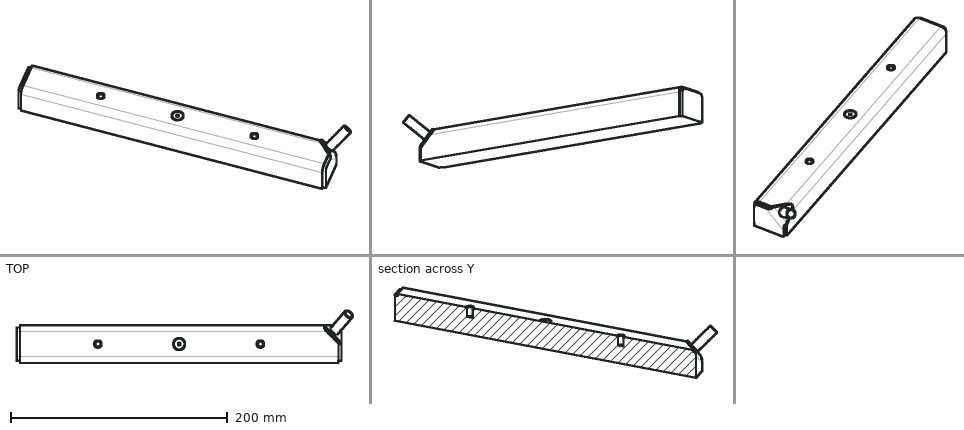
import cadquery as cq
import math

bar_width = 35.0
bar_height = 29.0
bar_edge_radius = 6.0
total_length = 300.0
cap_thickness = 3.0
cap_inset = 2.0
cap_edge_radius = bar_edge_radius - cap_inset
bar_end_x = total_length - cap_thickness

corner = cq.Vector(bar_end_x, bar_width, bar_height)
diagonal = cq.Vector(1, 1, 1).normalized()
corner_cut_depth = 9.7
corner_cut_inradius = corner_cut_depth / math.sqrt(2)
plate_thickness = 1.6
plate_inset = 1.4
plate_corner_radius = 2.0
plate_end_radius = 8.0

sleeve_diameter = 9.0
sleeve_bore_diameter = 7.0
sleeve_x_lean = 0.87
sleeve_direction = cq.Vector(sleeve_x_lean, 1, 1).normalized()
sleeve_tip_reach_x = 9.48
sleeve_tip_reach_yz = 9.95
sleeve_tip = corner + cq.Vector(sleeve_tip_reach_x, sleeve_tip_reach_yz, sleeve_tip_reach_yz)
sleeve_length = 27.0
sleeve_bore_depth = 25.0

top_center_x = total_length / 2
top_center_y = bar_width / 2
mount_spacing = 150.0
mount_hole_diameter = 5.0
mount_hole_depth = 10.0
mount_recess_diameter = 7.0
mount_recess_depth = 1.0
button_diameter = 10.0
button_groove_width = 0.6
button_groove_depth = 0.2
dimple_diameter = 2.5
dimple_depth = 0.1

oversize = 4 * bar_width


def rounded_bar(start_x, end_x, inset, edge_radius):
    """Bar along X with rounded top edges, set in from the housing's sides and top."""
    return (
        cq.Workplane("XY")
        .box(end_x - start_x, bar_width - 2 * inset, bar_height - inset, centered=False)
        .edges("|X and >Z")
        .fillet(edge_radius)
        .translate((start_x, inset, 0))
    )


def diagonal_plane(distance):
    """Plane square to the diagonal at a distance past the bar's corner, its Y axis up the slope."""
    return cq.Plane(origin=corner + diagonal * distance, xDir=(-1, 1, 0), normal=diagonal)


def cut_corner(body, distance):
    """Remove everything past a plane square to the diagonal."""
    return body.cut(cq.Workplane(diagonal_plane(distance)).rect(oversize, oversize).extrude(oversize))


def sloping_plate():
    """Plate with a rounded top corner, inset from the cut's top and side and flush with the end cap."""
    inset_side = corner_cut_inradius - plate_inset
    end_side = corner_cut_inradius + total_length - bar_end_x
    outline = [
        (math.sqrt(3) * inset_side, inset_side),
        (-(inset_side + 2 * end_side) / math.sqrt(3), inset_side),
        ((inset_side - end_side) / math.sqrt(3), -inset_side - end_side),
    ]
    plate = cq.Workplane(diagonal_plane(-corner_cut_depth)).polyline(outline).close().extrude(plate_thickness)
    return plate.edges("|(1, 1, 1)").edges("<X").fillet(plate_corner_radius)


def cap_envelope():
    """Oversize block whose end face rolls smoothly into the plate's sloping outer face."""
    block = cq.Workplane("XY").box(total_length, oversize, oversize, centered=(False, True, True))
    block = cut_corner(block, plate_thickness - corner_cut_depth)
    return block.edges("|(0, 1, -1)").edges(">X").fillet(plate_end_radius)


def end_caps():
    """Inset bar reaching past both ends, joined to the sloping plate."""
    core = rounded_bar(0, total_length, cap_inset, cap_edge_radius)
    return core.union(sloping_plate()).intersect(cap_envelope())


def sleeve_cylinder(diameter, length):
    plane = cq.Plane(origin=sleeve_tip, normal=sleeve_direction)
    return cq.Workplane(plane).circle(diameter / 2).extrude(-length)


def top_pocket(x, diameter, depth):
    return cq.Workplane("XY", origin=(x, top_center_y, bar_height)).circle(diameter / 2).extrude(-depth)


def mount_hole(x):
    recess = top_pocket(x, mount_recess_diameter, mount_recess_depth)
    return recess.union(top_pocket(x, mount_hole_diameter, mount_hole_depth))


def button_outline():
    """Shallow ring groove around a button, with a dimple at its centre."""
    groove = top_pocket(top_center_x, button_diameter + 2 * button_groove_width, button_groove_depth)
    groove = groove.cut(top_pocket(top_center_x, button_diameter, button_groove_depth))
    return groove.union(top_pocket(top_center_x, dimple_diameter, dimple_depth))


bar = rounded_bar(cap_thickness, bar_end_x, 0, bar_edge_radius)
result = cut_corner(bar, -corner_cut_depth).union(end_caps())
result = result.union(sleeve_cylinder(sleeve_diameter, sleeve_length))
result = result.cut(sleeve_cylinder(sleeve_bore_diameter, sleeve_bore_depth))
for side in (-1, 1):
    result = result.cut(mount_hole(top_center_x + side * mount_spacing / 2))
result = result.cut(button_outline())